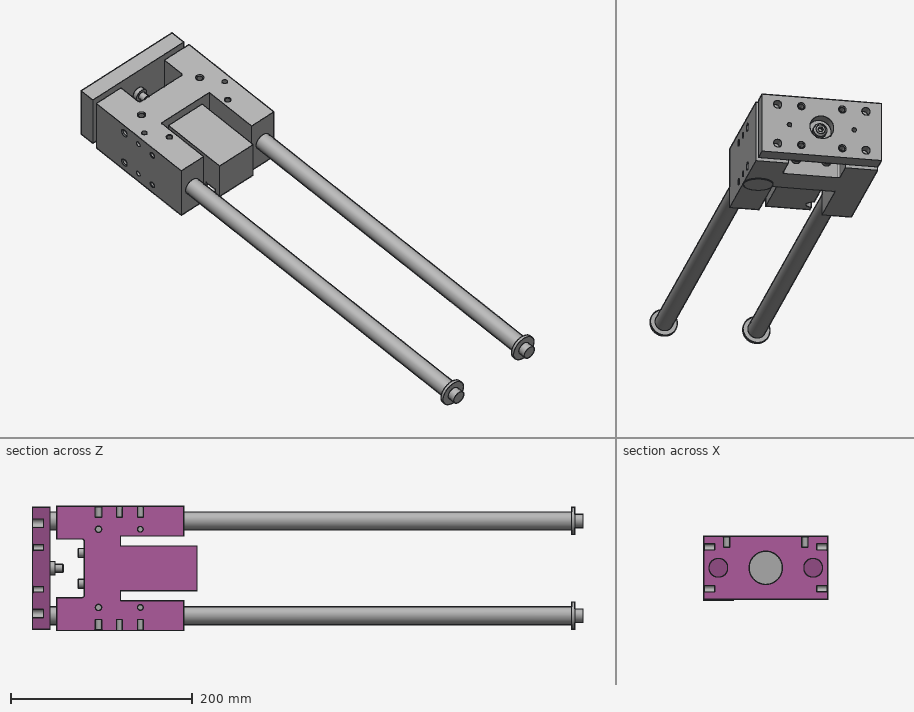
import cadquery as cq


OVERALL_LENGTH = 606.0

HOUSING_START = 26.5
HOUSING_LENGTH = 140.0
HOUSING_WIDTH = 137.0
HOUSING_HEIGHT = 69.5
HOUSING_END = HOUSING_START + HOUSING_LENGTH
WEB_FRONT = 57.0
WEB_BACK = 97.0
FRONT_POCKET_WIDTH = 64.0
REAR_POCKET_WIDTH = 71.0
POCKET_FILLET = 2.5
NOSE_BORE_DIAMETER = 36.5
NOSE_BORE_DEPTH = 36.5

DRIVE_END = 181.0
DRIVE_WIDTH = 49.5
DRIVE_HEIGHT = 48.0
NOTCH_DIAMETER = 15.0
NOTCH_HEIGHT = 5.5
NOTCH_X = 166.0

WEB_SCREW_DIAMETER = 10.0
WEB_SCREW_LENGTH = 6.5
WEB_SCREW_OFFSET = 17.0
WEB_SOCKET_SIZE = 5.0
WEB_SOCKET_DEPTH = 3.5

MOUNT_X = 96.0
MOUNT_SPACING = 46.0
FRONT_MOUNT_DIAMETER = 6.5
REAR_MOUNT_DIAMETER = 6.0
FRONT_MOUNT_COUNTERSINK = 1.0
REAR_MOUNT_COUNTERSINK = 0.5
DOWEL_DIAMETER = 6.0
HOLE_DEPTH = 12.0
SIDE_HOLE_Z = 23.0
TOP_MOUNT_Y = 43.0
TOP_DOWEL_Y = 59.5

PAD_X = 92.0
PAD_DIAMETER = 33.0
PAD_THICKNESS = 1.0

PLATE_THICKNESS = 19.5
PLATE_WIDTH = 134.5
PLATE_HEIGHT = 68.0
PLATE_BORE_DIAMETER = 26.5
PLATE_BORE_DEPTH = 13.5
PLATE_HOLE_Z = 23.0
PLATE_OUTER_Y = 49.5
PLATE_OUTER_DIAMETER = 9.0
PLATE_INNER_Y = 23.0
PLATE_INNER_DIAMETER = 6.0
PLATE_INNER_COUNTERSINK = 1.0
PLATE_DOWEL_Y = 36.5
PLATE_DOWEL_DIAMETER = 4.9

BOLT_COLLAR_DIAMETER = 15.0
BOLT_COLLAR_END = 25.0
BOLT_TIP_DIAMETER = 9.0
BOLT_TIP_END = 34.0
BOLT_HEAD_HEIGHT = 7.0
BOLT_HEAD_CHAMFER = 2.5
BOLT_SOCKET_SIZE = 6.0
BOLT_SOCKET_DEPTH = 5.0

ROD_DIAMETER = 20.0
ROD_SPACING = 104.0
ROD_OFFSET = ROD_SPACING / 2
WASHER_DIAMETER = 30.0
WASHER_START = 593.0
WASHER_END = 597.0
END_SCREW_DIAMETER = 15.0
SCREW_CHAMFER = 0.5

SIDES = (-1, 1)


def block(x_start, x_end, width, height):
    """Box between two X positions, centred on the X axis."""
    return cq.Workplane("XY").box(x_end - x_start, width, height).translate(((x_start + x_end) / 2, 0, 0))


def rod(x_start, x_end, diameter, y=0, z=0):
    """Cylinder parallel to X between two X positions."""
    return cq.Workplane("YZ", origin=(x_start, y, z)).circle(diameter / 2).extrude(x_end - x_start)


def hex_socket(x_start, depth, size, y=0, z=0):
    """Hexagonal recess tool that runs in +X; size is measured across the corners."""
    return cq.Workplane("YZ", origin=(x_start, y, z)).polygon(6, size).extrude(depth)


def blind_hole(mouth, inward, diameter, countersink):
    """Hole tool from a mouth point along a direction, with a 45 degree countersink unless it is 0."""
    point = cq.Vector(*mouth)
    direction = cq.Vector(*inward)
    radius = diameter / 2
    bore = cq.Solid.makeCylinder(radius, HOLE_DEPTH, point, direction)
    if countersink == 0:
        return bore
    return bore.fuse(cq.Solid.makeCone(radius + countersink, radius, countersink, point, direction))


def hole_row():
    """X position, diameter and countersink of the two mounting holes and the dowel hole in a row."""
    return (
        (MOUNT_X - MOUNT_SPACING / 2, FRONT_MOUNT_DIAMETER, FRONT_MOUNT_COUNTERSINK),
        (MOUNT_X, DOWEL_DIAMETER, 0),
        (MOUNT_X + MOUNT_SPACING / 2, REAR_MOUNT_DIAMETER, REAR_MOUNT_COUNTERSINK),
    )


def cut_side_holes(body, side):
    """Two rows of three holes in one side face of the housing."""
    for level in SIDES:
        for x, diameter, countersink in hole_row():
            mouth = (x, side * HOUSING_WIDTH / 2, level * SIDE_HOLE_Z)
            body = body.cut(cq.Workplane(blind_hole(mouth, (0, -side, 0), diameter, countersink)))
    return body


def cut_top_holes(body, side):
    """Three holes in the top of one arm; the dowel hole lies further out than the other two."""
    for x, diameter, countersink in hole_row():
        y = TOP_DOWEL_Y if x == MOUNT_X else TOP_MOUNT_Y
        mouth = (x, side * y, HOUSING_HEIGHT / 2)
        body = body.cut(cq.Workplane(blind_hole(mouth, (0, 0, -1), diameter, countersink)))
    return body


def housing_block():
    """H-shaped block with rounded corners in its front pocket."""
    body = block(HOUSING_START, HOUSING_END, HOUSING_WIDTH, HOUSING_HEIGHT)
    front_pocket = block(HOUSING_START, WEB_FRONT, FRONT_POCKET_WIDTH, HOUSING_HEIGHT)
    front_pocket = front_pocket.edges("|Z and >X").fillet(POCKET_FILLET)
    body = body.cut(front_pocket)
    return body.cut(block(WEB_BACK, HOUSING_END, REAR_POCKET_WIDTH, HOUSING_HEIGHT))


def drive_cylinder():
    """Rectangular drive behind the web, notched at one lower edge."""
    body = block(WEB_BACK, DRIVE_END, DRIVE_WIDTH, DRIVE_HEIGHT)
    notch = (
        cq.Workplane("XY", origin=(NOTCH_X, -DRIVE_WIDTH / 2, -DRIVE_HEIGHT / 2))
        .circle(NOTCH_DIAMETER / 2)
        .extrude(NOTCH_HEIGHT)
    )
    return body.cut(notch)


def web_screw(y, z):
    """Socket screw head that stands on the front of the web."""
    head_start = WEB_FRONT - WEB_SCREW_LENGTH
    head = rod(head_start, WEB_FRONT, WEB_SCREW_DIAMETER, y, z).faces("<X").chamfer(SCREW_CHAMFER)
    return head.cut(hex_socket(head_start, WEB_SOCKET_DEPTH, WEB_SOCKET_SIZE, y, z))


def make_housing():
    body = housing_block().union(drive_cylinder())
    body = body.cut(rod(WEB_FRONT, WEB_FRONT + NOSE_BORE_DEPTH, NOSE_BORE_DIAMETER))
    for side in SIDES:
        body = body.cut(rod(HOUSING_START, HOUSING_END, ROD_DIAMETER, side * ROD_OFFSET))
        body = cut_side_holes(body, side)
        body = cut_top_holes(body, side)
        for level in SIDES:
            body = body.union(web_screw(side * WEB_SCREW_OFFSET, level * WEB_SCREW_OFFSET))
    pad = (
        cq.Workplane("XY", origin=(PAD_X, ROD_OFFSET, -HOUSING_HEIGHT / 2))
        .circle(PAD_DIAMETER / 2)
        .extrude(-PAD_THICKNESS)
    )
    return body.union(pad)


def front_plate():
    """Plate with its hole pattern and the central counterbore."""
    body = block(0, PLATE_THICKNESS, PLATE_WIDTH, PLATE_HEIGHT)
    body = body.cut(rod(0, PLATE_BORE_DEPTH, PLATE_BORE_DIAMETER))
    for side in SIDES:
        for level in SIDES:
            z = level * PLATE_HOLE_Z
            body = body.cut(rod(0, HOLE_DEPTH, PLATE_OUTER_DIAMETER, side * PLATE_OUTER_Y, z))
            mouth = (0, side * PLATE_INNER_Y, z)
            tool = blind_hole(mouth, (1, 0, 0), PLATE_INNER_DIAMETER, PLATE_INNER_COUNTERSINK)
            body = body.cut(cq.Workplane(tool))
        body = body.cut(rod(0, HOLE_DEPTH, PLATE_DOWEL_DIAMETER, side * PLATE_DOWEL_Y))
    return body


def coupling_bolt():
    """Bolt through the plate: chamfered head in the counterbore, collar and tip behind."""
    head_start = PLATE_BORE_DEPTH - BOLT_HEAD_HEIGHT
    shank = rod(head_start, BOLT_COLLAR_END, BOLT_COLLAR_DIAMETER).faces("<X").chamfer(BOLT_HEAD_CHAMFER)
    tip = rod(BOLT_COLLAR_END, BOLT_TIP_END, BOLT_TIP_DIAMETER).faces(">X").chamfer(SCREW_CHAMFER)
    return shank.union(tip).cut(hex_socket(head_start, BOLT_SOCKET_DEPTH, BOLT_SOCKET_SIZE))


def guide_rod(y):
    """Rod from the plate to its washer, closed by the end screw."""
    shaft = rod(PLATE_THICKNESS, WASHER_START, ROD_DIAMETER, y)
    washer = rod(WASHER_START, WASHER_END, WASHER_DIAMETER, y)
    end_screw = rod(WASHER_END, OVERALL_LENGTH, END_SCREW_DIAMETER, y)
    return shaft.union(washer).union(end_screw)


def make_slide():
    body = front_plate().union(coupling_bolt())
    for side in SIDES:
        body = body.union(guide_rod(side * ROD_OFFSET))
    return body


housing = make_housing()
slide = make_slide()
result = cq.Compound.makeCompound([housing.val(), slide.val()])